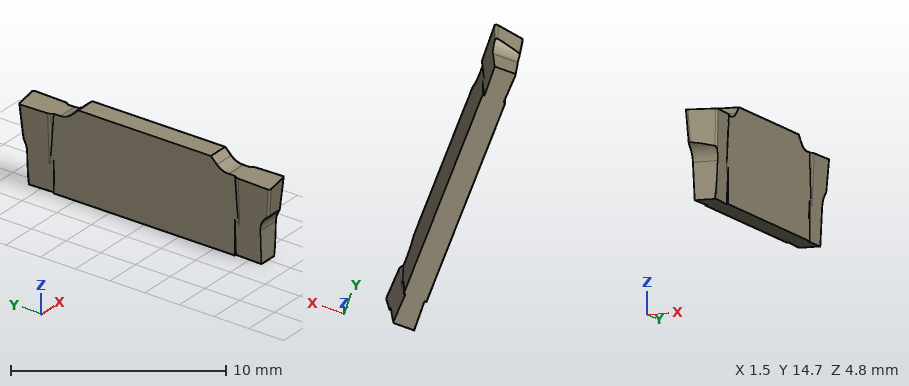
import cadquery as cq
import math

total_height = 4.8
overall_length = 14.7
overall_width = 1.5
body_width = 1.13

ridge_length = 7.67
edge_height = 4.19
runout_radius = 0.97
runout_angle = math.radians(45)

foot_length = 13.44
undercut_radius = 1.0
undercut_start = 1.81
undercut_top = 2.69

neck_length = 10.44
bevel_length = 0.184
edge_angle = math.radians(10)
back_taper = math.tan(math.radians(2))
side_draft = math.tan(math.radians(2.8))
front_relief = math.tan(math.radians(5.4))
corner_radius = 0.1
bevel_blend_radius = 0.3

tip_rounding = corner_radius * (math.tan(edge_angle) + 1 / math.cos(edge_angle) - 1)
tip_length = overall_length + 2 * tip_rounding
cutting_width = overall_width + 2 * corner_radius * back_taper


def head_outline(height, bevelled):
    """Corners of the -Y head at a height, from the left neck corner around the tip."""
    depth = edge_height - height
    left_tip = -tip_length / 2
    right_tip = left_tip + cutting_width * math.tan(edge_angle)
    neck_y = -neck_length / 2
    side_shift = depth * side_draft
    end_shift = depth * front_relief
    half_tip = cutting_width / 2 - side_shift
    half_neck = body_width / 2 - side_shift

    def flank_x(y, tip_y):
        return half_tip - (y - tip_y) * back_taper

    half_end = half_tip - end_shift * back_taper
    tip = [(-half_end, left_tip + end_shift), (half_end, right_tip + end_shift)]
    if not bevelled:
        left_root = (-flank_x(neck_y, left_tip), neck_y)
        right_root = (flank_x(neck_y, right_tip), neck_y)
        return [left_root, *tip, right_root]

    bevel_y = neck_y - bevel_length
    left_bevel = (-flank_x(bevel_y, left_tip), bevel_y)
    right_bevel = (flank_x(bevel_y, right_tip), bevel_y)
    return [(-half_neck, neck_y), left_bevel, *tip, right_bevel, (half_neck, neck_y)]


def head_blank(bevelled):
    """Sharp-cornered -Y head that narrows toward the bottom."""
    return (
        cq.Workplane("XY").polyline(head_outline(0, bevelled)).close()
        .workplane(offset=edge_height).polyline(head_outline(edge_height, bevelled)).close()
        .loft(ruled=True, combine=True)
    )


def round_upright_edges(head, bevelled, indices, radius):
    """Round the upright edges that pass through the chosen outline corners."""
    middle = edge_height / 2
    corners = head_outline(middle, bevelled)
    for index in indices:
        nearest = cq.selectors.NearestToPointSelector((*corners[index], middle))
        head = head.edges(nearest).fillet(radius)
    return head


def cutting_head():
    """-Y head: its neck bevels stop at the body faces, its flanks run on to the neck."""
    head = round_upright_edges(head_blank(True), True, (2, 3), corner_radius)
    head = round_upright_edges(head, True, (1, 4), bevel_blend_radius)
    root = round_upright_edges(head_blank(False), False, (1, 2), corner_radius)
    body_slab = cq.Workplane("XY").box(
        body_width, tip_length, total_height, centered=(True, True, False)
    )
    return head.union(root.intersect(body_slab)).clean()


def runout_points():
    """Start, middle and end (y, z) of the +Y arc falling to the cutting edge."""
    arc_fall = runout_radius * (1 - math.cos(runout_angle))
    slope_fall = total_height - edge_height - arc_fall
    start_y = ridge_length / 2 + slope_fall / math.tan(runout_angle)
    centre_y = start_y + runout_radius * math.sin(runout_angle)
    centre_z = edge_height + runout_radius

    def point(angle):
        return (
            centre_y - runout_radius * math.sin(angle),
            centre_z - runout_radius * math.cos(angle),
        )

    return [point(runout_angle), point(runout_angle / 2), point(0)]


def undercut_points():
    """Start, middle and end (y, z) of the +Y undercut arc, from the wall upward."""
    sweep = math.asin((undercut_top - undercut_start) / undercut_radius)

    def point(angle):
        return (
            foot_length / 2 + undercut_radius * (1 - math.cos(angle)),
            undercut_start + undercut_radius * math.sin(angle),
        )

    return [point(0), point(sweep / 2), point(sweep)]


def side_envelope():
    """Side profile that trims the body and heads; the heads set the tip relief."""
    wall, undercut_middle, undercut_end = undercut_points()
    slope_end, runout_middle, runout_end = runout_points()
    half = (
        cq.Workplane("YZ")
        .moveTo(0, 0)
        .lineTo(foot_length / 2, 0)
        .lineTo(*wall)
        .threePointArc(undercut_middle, undercut_end)
        .lineTo(tip_length / 2, undercut_end[1])
        .lineTo(tip_length / 2, edge_height)
        .lineTo(*runout_end)
        .threePointArc(runout_middle, slope_end)
        .lineTo(ridge_length / 2, total_height)
        .lineTo(0, total_height)
        .close()
        .extrude(cutting_width / 2, both=True)
    )
    return half.union(half.mirror("XZ"))


body = cq.Workplane("XY").box(
    body_width, neck_length, total_height, centered=(True, True, False)
)
front_head = cutting_head()
back_head = front_head.rotate((0, 0, 0), (0, 0, 1), 180)
result = body.union(front_head).union(back_head).intersect(side_envelope())